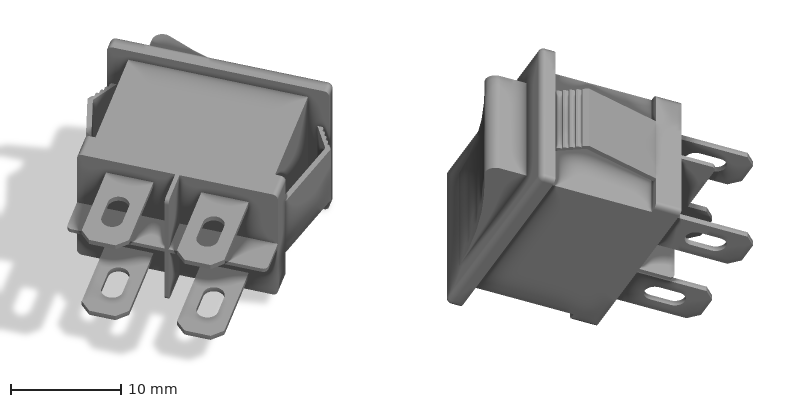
import cadquery as cq
import math


overall_depth = 26.97

flange_width = 21.0
flange_height = 15.0
flange_thickness = 1.5

body_width = 17.0
collar_width = 19.0
housing_height = 12.7
collar_front_y = -10.46
housing_back_y = -13.0
edge_radius = 0.5

rocker_width = 15.0
rocker_height = 10.5
rocker_tip_y = 5.18
rocker_tip_radius = 1.0
rocker_face_radius = 35.05

divider_back_y = -16.48
divider_thickness = 0.4

terminal_pitch = 9.0
terminal_width = 4.48
terminal_thickness = 0.5
terminal_back_y = rocker_tip_y - overall_depth
terminal_chamfer = 1.0
slot_length = 4.0
slot_width = 2.0
slot_center_y = -17.65

clip_span = 23.0
clip_height = 6.5
clip_thickness = 0.5
clip_bend_y = -2.85
clip_top_y = -0.32
tooth_count = 4
tooth_pitch = 0.5
tooth_land = 0.15


def block(width, y_back, y_front, height):
    """Box centred on X and Z that runs from y_back to y_front."""
    length = y_front - y_back
    return cq.Workplane("XY").box(width, length, height).translate((0, y_back + length / 2, 0))


def plate(outline, thickness):
    """Extrude a closed XY outline symmetrically about z = 0."""
    return outline.close().extrude(thickness / 2, both=True)


def make_flange():
    flange = block(flange_width, 0, flange_thickness, flange_height)
    return flange.edges("|Y").fillet(edge_radius).faces(">Y").edges().fillet(edge_radius)


def make_housing():
    body = block(body_width, housing_back_y, 0, housing_height)
    collar = block(collar_width, housing_back_y, collar_front_y, housing_height)
    return body.union(collar.edges("|Y").fillet(edge_radius))


def make_rocker():
    """Rocker with a rounded tip that runs tangentially into a hollow finger face."""
    left = -rocker_width / 2
    end_x = rocker_width / 2
    end_y = flange_thickness
    tip_x = left + rocker_tip_radius
    tip_y = rocker_tip_y - rocker_tip_radius

    to_end = rocker_face_radius
    to_tip = rocker_face_radius + rocker_tip_radius
    base = math.hypot(end_x - tip_x, end_y - tip_y)
    along = (to_tip**2 - to_end**2 + base**2) / (2 * base)
    offset = math.sqrt(to_tip**2 - along**2)
    ux = (end_x - tip_x) / base
    uy = (end_y - tip_y) / base
    face_x = tip_x + along * ux - offset * uy
    face_y = tip_y + along * uy + offset * ux

    def on_circle(center_x, center_y, radius, angle):
        return (center_x + radius * math.cos(angle), center_y + radius * math.sin(angle))

    join_angle = math.atan2(face_y - tip_y, face_x - tip_x)
    end_angle = math.atan2(end_y - face_y, end_x - face_x)
    face_mid_angle = (join_angle - math.pi + end_angle) / 2
    tip_mid_angle = (math.pi + join_angle) / 2

    outline = (
        cq.Workplane("XY")
        .moveTo(left, 0)
        .lineTo(left, tip_y)
        .threePointArc(
            on_circle(tip_x, tip_y, rocker_tip_radius, tip_mid_angle),
            on_circle(tip_x, tip_y, rocker_tip_radius, join_angle),
        )
        .threePointArc(
            on_circle(face_x, face_y, rocker_face_radius, face_mid_angle),
            (end_x, end_y),
        )
        .lineTo(end_x, 0)
    )
    return plate(outline, rocker_height)


def make_dividers():
    """Crossed walls that keep the four terminals apart."""
    flat_wall = block(collar_width, divider_back_y, housing_back_y, divider_thickness)
    upright_wall = block(divider_thickness, divider_back_y, housing_back_y, housing_height)
    flat_wall = flat_wall.faces("<Y").edges("|Z").fillet(edge_radius)
    upright_wall = upright_wall.faces("<Y").edges("|X").fillet(edge_radius)
    return flat_wall.union(upright_wall)


def make_terminal():
    blade = block(terminal_width, terminal_back_y, housing_back_y, terminal_thickness)
    blade = blade.faces("<Y").edges("|Z").chamfer(terminal_chamfer)
    slot = (
        cq.Workplane("XY")
        .center(0, slot_center_y)
        .slot2D(slot_length, slot_width, 90)
        .extrude(terminal_thickness, both=True)
    )
    return blade.cut(slot)


def make_right_clip():
    """Bent spring leaf whose upper arm carries a stepped gripping edge."""
    root_x = collar_width / 2
    bend_x = clip_span / 2
    top_x = root_x + clip_thickness
    slope = (bend_x - top_x) / (clip_top_y - clip_bend_y)

    outline = (
        cq.Workplane("XY")
        .moveTo(root_x - clip_thickness, collar_front_y)
        .lineTo(bend_x - clip_thickness, clip_bend_y)
        .lineTo(root_x, clip_top_y)
        .lineTo(top_x, clip_top_y)
    )
    for tooth in range(tooth_count):
        land_end_y = clip_top_y - tooth * tooth_pitch - tooth_land
        next_top_y = clip_top_y - (tooth + 1) * tooth_pitch
        land_end_x = top_x + slope * (clip_top_y - land_end_y)
        next_top_x = top_x + slope * (clip_top_y - next_top_y)
        outline = (
            outline.lineTo(land_end_x, land_end_y)
            .lineTo(land_end_x, next_top_y)
            .lineTo(next_top_x, next_top_y)
        )
    outline = outline.lineTo(bend_x, clip_bend_y).lineTo(root_x, collar_front_y)
    return plate(outline, clip_height)


right_clip = make_right_clip()

result = (
    make_housing()
    .union(make_flange())
    .union(make_rocker())
    .union(make_dividers())
    .union(right_clip)
    .union(right_clip.mirror("YZ"))
)

terminal = make_terminal()
for x in (-terminal_pitch / 2, terminal_pitch / 2):
    for z in (-terminal_pitch / 2, terminal_pitch / 2):
        result = result.union(terminal.translate((x, 0, z)))